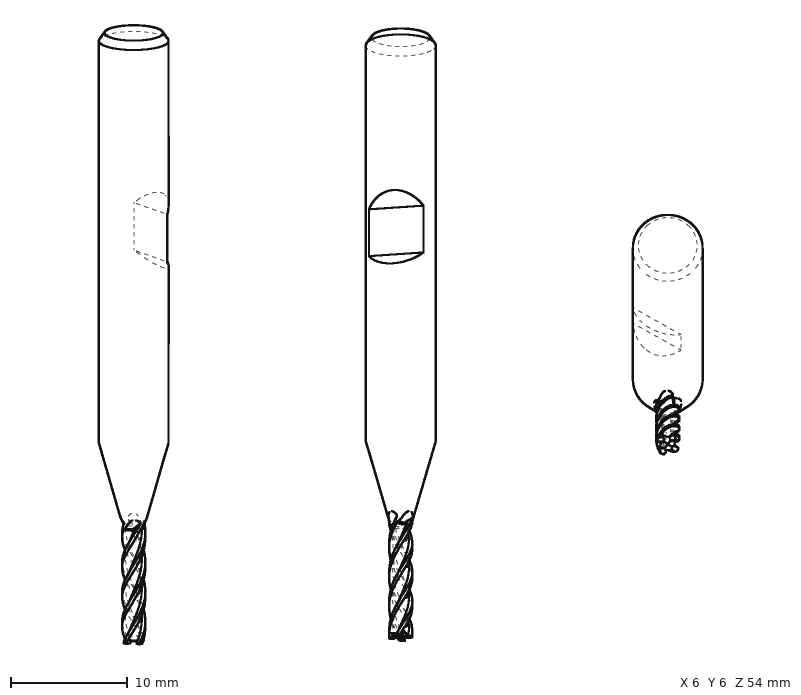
import cadquery as cq
import math

total_length = 54.0
shank_radius = 6.0 / 2
cutter_radius = 2.0 / 2
cutter_length = 10.0

neck_top = 10.5
cone_top = 17.65
chamfer_height = 0.7
chamfer_width = 0.5

flat_depth = 1.2
flat_length = 4.2
flat_distance = 18.0

flute_count = 4
flute_lead = 10.55
flute_pitch_angle = 360 / flute_count
land_angle = 20.0
core_radius = 0.6
floor_edge_radius = 0.7
rake_foot_angle = 8.0
core_angle = 30.0
back_foot_angle = 50.0
runout_bottom = 10.15
flute_top = 11.4
runout_radius = 1.35
flute_reach = 3.0
first_rake_angle = -land_angle / 2

gash_depth = 0.45
gash_width = 0.55


def polar(radius, angle):
    """Point of the XY plane at a radius and an angle in degrees."""
    return (radius * math.cos(math.radians(angle)), radius * math.sin(math.radians(angle)))


def rake_angle(index):
    """Angle of one rake face at the cutting end, in degrees."""
    return first_rake_angle + index * flute_pitch_angle


def twist_angle(height):
    """Turn of the flutes over a height, in degrees."""
    return 360 * height / flute_lead


def stretch(inner, outer):
    """Point on the line from inner through outer, flute_reach times as far as outer."""
    return tuple(start + flute_reach * (end - start) for start, end in zip(inner, outer))


def flute_points(rake):
    """Points across one flute: rake tip, rake foot, deepest point, back foot and heel."""
    return (
        polar(cutter_radius, rake),
        polar(floor_edge_radius, rake - rake_foot_angle),
        polar(core_radius, rake - core_angle),
        polar(floor_edge_radius, rake - back_foot_angle),
        polar(cutter_radius, rake - flute_pitch_angle + land_angle),
    )


def make_flute_end(index):
    """Upper end of one flute, as the volume to remove from the neck and the cone."""
    height = flute_top - cutter_length
    rake = rake_angle(index) + twist_angle(cutter_length)
    tip, rake_foot, deepest, back_foot, heel = flute_points(rake)
    end_direction = rake - core_angle + twist_angle(height / 2)
    section = (
        cq.Workplane("XY")
        .workplane(offset=cutter_length)
        .moveTo(*stretch(rake_foot, tip))
        .lineTo(*rake_foot)
        .threePointArc(deepest, back_foot)
        .lineTo(*stretch(back_foot, heel))
        .lineTo(*stretch((0, 0), deepest))
        .close()
    )
    return section.twistExtrude(height, twist_angle(height)).cut(make_runout(end_direction))


def make_runout(direction):
    """Sloping end of one flute, rising outward along a direction in degrees."""
    return (
        cq.Workplane("XZ")
        .moveTo(0, runout_bottom)
        .lineTo(core_radius, runout_bottom)
        .lineTo(runout_radius, flute_top)
        .lineTo(0, flute_top)
        .close()
        .extrude(shank_radius, both=True)
        .rotate((0, 0, 0), (0, 0, 1), direction)
    )


def make_clamping_flat():
    """Trapezoidal notch to remove across the shank."""
    middle = total_length - flat_distance
    half_floor = flat_length / 2
    half_mouth = half_floor + flat_depth
    floor = shank_radius - flat_depth
    return (
        cq.Workplane("YZ")
        .moveTo(floor, middle - half_floor)
        .lineTo(shank_radius, middle - half_mouth)
        .lineTo(shank_radius, middle + half_mouth)
        .lineTo(floor, middle + half_floor)
        .close()
        .extrude(shank_radius, both=True)
    )


def make_shank():
    """Chamfered shank with its cone and neck, notched by the flute ends."""
    body = (
        cq.Workplane("XZ")
        .moveTo(0, cutter_length)
        .lineTo(cutter_radius, cutter_length)
        .lineTo(cutter_radius, neck_top)
        .lineTo(shank_radius, cone_top)
        .lineTo(shank_radius, total_length - chamfer_height)
        .lineTo(shank_radius - chamfer_width, total_length)
        .lineTo(0, total_length)
        .close()
        .revolve(360, (0, 0), (0, 1))
    )
    body = body.cut(make_clamping_flat())
    for index in range(flute_count):
        body = body.cut(make_flute_end(index))
    return body


def make_gash(direction):
    """Wedge to remove from the end face, deepening outward along a direction in degrees."""
    return (
        cq.Workplane("XZ")
        .lineTo(cutter_radius, 0)
        .lineTo(cutter_radius, gash_depth)
        .close()
        .extrude(gash_width / 2, both=True)
        .rotate((0, 0, 0), (0, 0, 1), direction)
    )


def make_cutter():
    """Helical cutting body: a toothed section twisted along the axis."""
    section = cq.Workplane("XY").moveTo(*polar(cutter_radius, first_rake_angle))
    for index in range(flute_count):
        land_middle = polar(cutter_radius, rake_angle(index) + land_angle / 2)
        tip, rake_foot, deepest, back_foot, heel = flute_points(rake_angle(index + 1))
        section = (
            section
            .threePointArc(land_middle, heel)
            .lineTo(*back_foot)
            .threePointArc(deepest, rake_foot)
            .lineTo(*tip)
        )
    body = section.close().twistExtrude(cutter_length, twist_angle(cutter_length))
    for index in range(flute_count):
        body = body.cut(make_gash(rake_angle(index) - core_angle))
    return body


shank = make_shank()
cutter = make_cutter()

result = cq.Compound.makeCompound([shank.solids().val(), cutter.solids().val()])